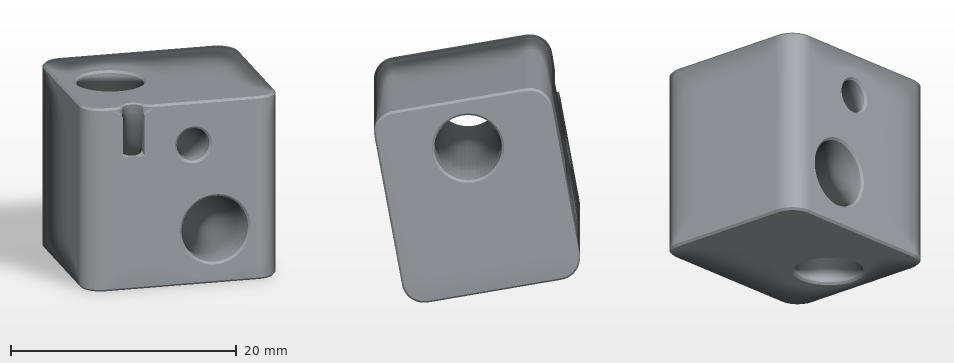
import cadquery as cq
import math

LENGTH_X = 16.0
LENGTH_Y = 18.0
HEIGHT = 17.0
CORNER_RADIUS = 2.0
EDGE_CHAMFER = 0.2

VERTICAL_BORE_DIAMETER = 6.0
VERTICAL_BORE_Y = -4.5

LARGE_CROSS_BORE_DIAMETER = 6.1
LARGE_CROSS_BORE_Y = 3.0
LARGE_CROSS_BORE_Z = 5.0
SMALL_CROSS_BORE_DIAMETER = 3.0
SMALL_CROSS_BORE_Y = 1.0
SMALL_CROSS_BORE_Z = 13.0

SLOPING_HOLE_RADIUS = 1.0
SLOPING_HOLE_TILT = 15.0
SLOT_LENGTH = 4.5
HOLE_LENGTH_BELOW_FLOOR = 4.0
FLARE_RADIUS = 1.3
STRAIGHT_FLARE_DEPTH = 0.3
FLARE_DEPTH = 0.9

SIDE_X = LENGTH_X / 2
CUT_MARGIN = 1.0

FLARE_ANGLE = math.acos(FLARE_RADIUS / (SLOPING_HOLE_RADIUS + FLARE_RADIUS))
BLEND_X = -SLOPING_HOLE_RADIUS * math.cos(FLARE_ANGLE)
BLEND_Y = SLOPING_HOLE_RADIUS * math.sin(FLARE_ANGLE)


def make_block():
    block = cq.Workplane("XY").box(LENGTH_X, LENGTH_Y, HEIGHT, centered=(True, True, False))
    return block.edges("|Z").fillet(CORNER_RADIUS)


def mouth_outline(z, end_y, middle_x, middle_y):
    """Groove outline in the +X face: a round bottom between two mirrored end arcs."""
    return (
        cq.Workplane("XY", origin=(SIDE_X, VERTICAL_BORE_Y, z))
        .moveTo(0, end_y)
        .threePointArc((middle_x, middle_y), (BLEND_X, BLEND_Y))
        .threePointArc((-SLOPING_HOLE_RADIUS, 0), (BLEND_X, -BLEND_Y))
        .threePointArc((middle_x, -middle_y), (0, -end_y))
        .lineTo(CUT_MARGIN, -end_y)
        .lineTo(CUT_MARGIN, end_y)
        .close()
    )


def flared_outline(z):
    """The end arcs curve outwards and run tangent into the +X face."""
    end_y = (SLOPING_HOLE_RADIUS + FLARE_RADIUS) * math.sin(FLARE_ANGLE)
    middle_x = FLARE_RADIUS * (math.cos(FLARE_ANGLE / 2) - 1)
    middle_y = end_y - FLARE_RADIUS * math.sin(FLARE_ANGLE / 2)
    return mouth_outline(z, end_y, middle_x, middle_y)


def plain_outline(z):
    """The end arcs complete a half circle centred on the +X face."""
    middle_angle = (FLARE_ANGLE + math.pi / 2) / 2
    middle_x = -SLOPING_HOLE_RADIUS * math.cos(middle_angle)
    middle_y = SLOPING_HOLE_RADIUS * math.sin(middle_angle)
    return mouth_outline(z, SLOPING_HOLE_RADIUS, middle_x, middle_y)


def tapering_flare():
    """Lower part of the mouth, where the flares shrink away to the plain half circle."""
    top = flared_outline(HEIGHT - STRAIGHT_FLARE_DEPTH).val()
    bottom = plain_outline(HEIGHT - FLARE_DEPTH).val()
    return cq.Workplane(obj=cq.Solid.makeLoft([top, bottom], True))


def sloping_hole():
    """Tilted round hole, opened towards +X down to a floor square to its axis."""
    plane = cq.Plane(origin=(SIDE_X, VERTICAL_BORE_Y, HEIGHT)).rotated((0, SLOPING_HOLE_TILT, 0))
    diameter = 2 * SLOPING_HOLE_RADIUS
    opening_length = SLOT_LENGTH * math.tan(math.radians(SLOPING_HOLE_TILT)) + CUT_MARGIN
    hole = cq.Workplane(plane).circle(SLOPING_HOLE_RADIUS).extrude(-SLOT_LENGTH - HOLE_LENGTH_BELOW_FLOOR)
    opening = (
        cq.Workplane(plane)
        .center(opening_length / 2, 0)
        .rect(opening_length, diameter)
        .extrude(-SLOT_LENGTH)
    )
    return hole.union(opening)


def chamfered_bore(plane, length, diameter):
    """Cutter for a through bore from the plane along its normal, chamfered at both ends."""
    radius = diameter / 2
    mouth_radius = radius + EDGE_CHAMFER
    half_section = [
        (0, 0),
        (mouth_radius, 0),
        (radius, EDGE_CHAMFER),
        (radius, length - EDGE_CHAMFER),
        (mouth_radius, length),
        (0, length),
    ]
    cutter = cq.Workplane("XZ").polyline(half_section).close().revolve(360, (0, 0, 0), (0, 1, 0))
    return cq.Workplane(obj=cutter.val().moved(cq.Location(plane)))


def cross_bore(diameter, y, z):
    plane = cq.Plane(origin=(-SIDE_X, y, z), xDir=(0, 1, 0), normal=(1, 0, 0))
    return chamfered_bore(plane, LENGTH_X, diameter)


def vertical_bore():
    plane = cq.Plane(origin=(0, VERTICAL_BORE_Y, 0))
    return chamfered_bore(plane, HEIGHT, VERTICAL_BORE_DIAMETER)


body = make_block().cut(flared_outline(HEIGHT).extrude(-STRAIGHT_FLARE_DEPTH))
body = body.faces("<Z or >Z").chamfer(EDGE_CHAMFER)
body = body.cut(tapering_flare())
body = body.cut(vertical_bore())
body = body.cut(cross_bore(LARGE_CROSS_BORE_DIAMETER, LARGE_CROSS_BORE_Y, LARGE_CROSS_BORE_Z))
body = body.cut(cross_bore(SMALL_CROSS_BORE_DIAMETER, SMALL_CROSS_BORE_Y, SMALL_CROSS_BORE_Z))
result = body.cut(sloping_hole())